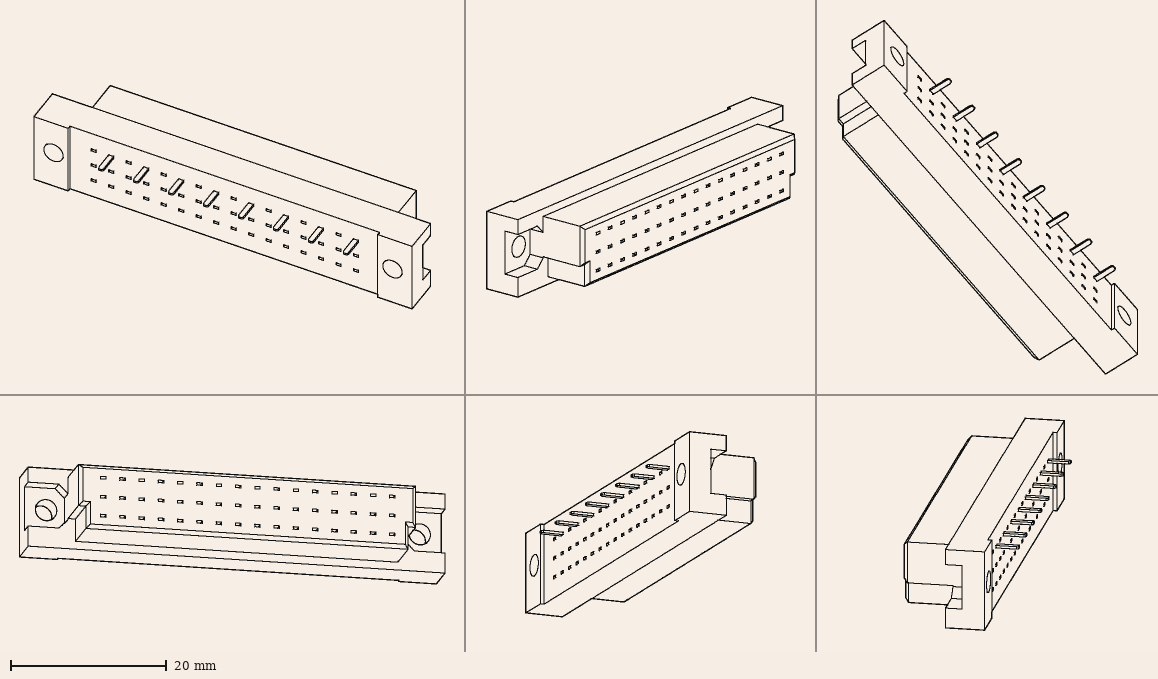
import cadquery as cq


flange_length = 55.0
flange_depth = 5.1
flange_height = 10.6
recess_length = 45.0
recess_depth = 0.5

plug_length = 44.5
plug_height = 8.5
mating_face_y = 11.6
mating_chamfer = 0.5
key_ledge_z = -1.25
key_inset = 1.0

hole_diameter = 2.8
hole_edge_distance = 2.85
hole_z = 0.35
pocket_depth = 2.15
pocket_mouth_height = 5.9
pocket_floor_height = 3.45
pocket_taper_length = 1.2

column_count = 16
row_count = 3
column_span = 38.1
pitch = column_span / (column_count - 1)

contact_width = 0.7
contact_height = 0.35
contact_protrusion = 2.5
tip_length = 0.3
tip_width = 0.5
tip_height = 0.2

plug_end_x = plug_length / 2
flange_end_x = flange_length / 2
hole_x = flange_end_x - hole_edge_distance
pocket_floor_y = flange_depth - pocket_depth


def block(x_range, y_range, z_range):
    """Axis-aligned block between the given limits."""
    (x0, x1), (y0, y1), (z0, z1) = x_range, y_range, z_range
    return cq.Workplane("XY").box(x1 - x0, y1 - y0, z1 - z0, centered=False).translate((x0, y0, z0))


def column_x(column):
    return (column - (column_count - 1) / 2) * pitch


def row_z(row):
    return ((row_count - 1) / 2 - row) * pitch


def make_flange():
    half_height = flange_height / 2
    half_recess = recess_length / 2
    flange = block((-flange_end_x, flange_end_x), (0, flange_depth), (-half_height, half_height))
    recess = block((-half_recess, half_recess), (0, recess_depth), (-half_height, half_height))
    return flange.cut(recess)


def make_plug():
    """Plug whose lower part is shorter at both ends, with a chamfered mating rim."""
    top_z = plug_height / 2
    lower_end_x = plug_end_x - key_inset
    outline = [
        (-plug_end_x, top_z),
        (plug_end_x, top_z),
        (plug_end_x, key_ledge_z),
        (lower_end_x, key_ledge_z),
        (lower_end_x, -top_z),
        (-lower_end_x, -top_z),
        (-lower_end_x, key_ledge_z),
        (-plug_end_x, key_ledge_z),
    ]
    plug = (
        cq.Workplane("XZ", origin=(0, flange_depth, 0))
        .polyline(outline)
        .close()
        .extrude(flange_depth - mating_face_y)
    )
    return plug.faces(">Y").chamfer(mating_chamfer)


def make_pocket(side):
    """Pocket open to the flange end and mating side, narrowing to the plug end face."""
    half_mouth = pocket_mouth_height / 2
    half_floor = pocket_floor_height / 2
    taper_x = plug_end_x + pocket_taper_length
    outline = [
        (side * flange_end_x, hole_z + half_mouth),
        (side * taper_x, hole_z + half_mouth),
        (side * plug_end_x, hole_z + half_floor),
        (side * plug_end_x, hole_z - half_floor),
        (side * taper_x, hole_z - half_mouth),
        (side * flange_end_x, hole_z - half_mouth),
    ]
    return (
        cq.Workplane("XZ", origin=(0, pocket_floor_y, 0))
        .polyline(outline)
        .close()
        .extrude(-pocket_depth)
    )


def make_mounting_holes():
    return (
        cq.Workplane("XZ")
        .pushPoints([(-hole_x, hole_z), (hole_x, hole_z)])
        .circle(hole_diameter / 2)
        .extrude(-flange_depth)
    )


def make_contact_slots():
    """Slots that run from the mounting side through to the mating face."""
    centers = [(column_x(column), row_z(row)) for column in range(column_count) for row in range(row_count)]
    return (
        cq.Workplane("XZ")
        .pushPoints(centers)
        .rect(contact_width, contact_height)
        .extrude(-mating_face_y)
    )


def make_housing():
    housing = make_flange().union(make_plug())
    for side in (-1, 1):
        housing = housing.cut(make_pocket(side))
    return housing.cut(make_mounting_holes()).cut(make_contact_slots())


def make_contact(column):
    """Flat contact filling its slot in the top row, with a tapered tip."""
    shoulder_y = tip_length - contact_protrusion
    base = cq.Workplane("XZ", origin=(column_x(column), shoulder_y, row_z(0)))
    blade = base.rect(contact_width, contact_height).extrude(shoulder_y - mating_face_y)
    tip = (
        base.rect(contact_width, contact_height)
        .workplane(offset=tip_length)
        .rect(tip_width, tip_height)
        .loft()
    )
    return blade.union(tip)


housing = make_housing()
contacts = [make_contact(column) for column in range(1, column_count, 2)]

result = cq.Compound.makeCompound([housing.val(), *[contact.val() for contact in contacts]])